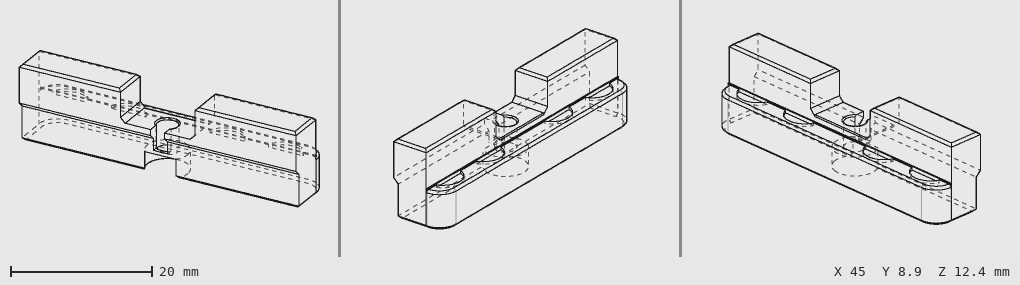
import cadquery as cq

flange_length = 45.0
flange_height = 6.05
flange_corner_radius = 2.95
overall_depth = 8.9

body_length = 44.9
body_depth = 5.8
overall_height = 12.35
edge_chamfer = 0.4
lower_face_setback = 0.8
setback_end = 6.25

notch_width = 12.05
notch_floor = 7.2
notch_corner_chamfer = 0.75
rear_edge_chamfer = 0.2

hole_y = 2.9
hole_diameter = 3.2
hole_rim_chamfer = 0.22
counterbore_diameter = 6.52
counterbore_depth = 3.0
slot_width = 2.3
slot_floor = 3.55
web_recess = 0.2
web_rear = 1.65

recess_diameter = 6.0
recess_depth = 0.4
recess_y = 5.0
recess_positions = (8.0, 17.45)

ledge_depth = 0.2
ledge_height = 0.2


def block(x_size, y_min, y_max, z_min, z_max):
    """Box centred on X between the given Y and Z limits."""
    return (
        cq.Workplane("XY")
        .box(x_size, y_max - y_min, z_max - z_min, centered=(True, False, False))
        .translate((0, y_min, z_min))
    )


def cylinder(x, y, diameter, z_min, z_max):
    """Upright cylinder between two heights."""
    return (
        cq.Workplane("XY", origin=(x, y, z_min))
        .circle(diameter / 2)
        .extrude(z_max - z_min)
    )


def notch():
    """Notch through the full depth, with its two lower corners chamfered."""
    half = notch_width / 2
    return (
        cq.Workplane("XZ")
        .moveTo(-half, overall_height)
        .lineTo(-half, notch_floor + notch_corner_chamfer)
        .lineTo(-half + notch_corner_chamfer, notch_floor)
        .lineTo(half - notch_corner_chamfer, notch_floor)
        .lineTo(half, notch_floor + notch_corner_chamfer)
        .lineTo(half, overall_height)
        .close()
        .extrude(-overall_depth)
    )


def body():
    """Stepped bar with the notch and chamfered top and bottom edges."""
    bar = (
        cq.Workplane("YZ", origin=(-body_length / 2, 0, 0))
        .moveTo(lower_face_setback, 0)
        .lineTo(lower_face_setback, setback_end - lower_face_setback)
        .lineTo(0, setback_end)
        .lineTo(0, overall_height)
        .lineTo(body_depth, overall_height)
        .lineTo(body_depth, 0)
        .close()
        .extrude(body_length)
    )
    bar = bar.cut(notch()).faces(">Z").edges().chamfer(edge_chamfer)
    bar = bar.edges("<Z and (not >Y)").chamfer(edge_chamfer)
    floor_centre = (0, body_depth / 2, notch_floor)
    floor_face = bar.faces(cq.selectors.NearestToPointSelector(floor_centre))
    return floor_face.edges(">Y").chamfer(rear_edge_chamfer)


def flange():
    """Rear flange with rounded outer corners and chamfered edges."""
    plate = (
        block(flange_length, body_depth, overall_depth, 0, flange_height)
        .edges("|Z and >Y")
        .fillet(flange_corner_radius)
    )
    return plate.faces("<Z or >Z").edges("not <Y").chamfer(edge_chamfer)


def recesses():
    """Shallow round recesses in the flange top, cut off flat at the ledge."""
    floor = flange_height - recess_depth
    tools = cq.Workplane("XY")
    for distance in recess_positions:
        for x in (-distance, distance):
            tools = tools.union(cylinder(x, recess_y, recess_diameter, floor, flange_height))
    return tools.cut(block(body_length, 0, body_depth + ledge_depth, floor, flange_height))


def ledge():
    """Low ledge along the rear of the body, standing on the flange."""
    rear = body_depth + ledge_depth
    return block(body_length, body_depth, rear, flange_height, flange_height + ledge_height)


def screw_hole():
    """Screw hole with chamfered rim, counterbore below and access slot."""
    web = block(slot_width, 0, web_rear, counterbore_depth, slot_floor - web_recess)
    hole = cylinder(0, hole_y, hole_diameter, 0, notch_floor).cut(web)
    rim_radius = hole_diameter / 2 + hole_rim_chamfer
    rim = cq.Workplane("XY").add(
        cq.Solid.makeCone(
            hole_diameter / 2,
            rim_radius,
            hole_rim_chamfer,
            pnt=cq.Vector(0, hole_y, notch_floor - hole_rim_chamfer),
        )
    )
    counterbore = cylinder(0, hole_y, counterbore_diameter, 0, counterbore_depth)
    slot = block(slot_width, 0, hole_y, slot_floor, notch_floor)
    return hole.union(rim).union(counterbore).union(slot)


result = body().union(flange()).union(ledge())
result = result.cut(recesses()).cut(screw_hole())